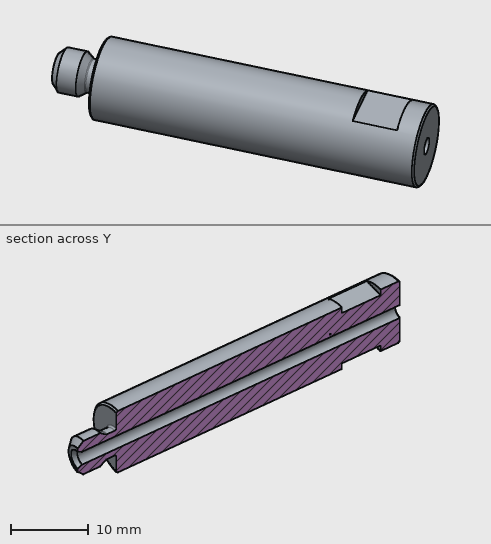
import cadquery as cq

length = 50.0
body_radius = 5.5
body_chamfer = 0.25

stud_length = 6.0
head_radius = 3.0
head_chamfer = 0.9
head_length = 3.5
neck_radius = 2.25
cone_length = 1.0
neck_fillet = 0.25

bore_radius = 1.1
countersink_radius = 1.5
countersink_depth = 0.7

across_flats = 9.0
flat_width = 6.0
flat_end_margin = 3.0

tip_x = -length / 2
end_x = length / 2
shoulder_x = tip_x + stud_length
head_end_x = tip_x + head_length
neck_start_x = head_end_x + cone_length


def make_turned_blank():
    """Revolve the outer half profile, then round both ends of the neck."""
    blank = (
        cq.Workplane("XY")
        .moveTo(tip_x, 0)
        .lineTo(tip_x, head_radius - head_chamfer)
        .lineTo(tip_x + head_chamfer, head_radius)
        .lineTo(head_end_x, head_radius)
        .lineTo(neck_start_x, neck_radius)
        .lineTo(shoulder_x, neck_radius)
        .lineTo(shoulder_x, body_radius - body_chamfer)
        .lineTo(shoulder_x + body_chamfer, body_radius)
        .lineTo(end_x - body_chamfer, body_radius)
        .lineTo(end_x, body_radius - body_chamfer)
        .lineTo(end_x, 0)
        .close()
        .revolve(360, (0, 0, 0), (1, 0, 0))
    )
    margin = neck_fillet / 2
    neck_edges = cq.selectors.BoxSelector(
        (neck_start_x - margin, -head_radius, -head_radius),
        (shoulder_x + margin, head_radius, head_radius),
        boundingbox=True,
    )
    return blank.edges("%CIRCLE").edges(neck_edges).fillet(neck_fillet)


def make_bore():
    """Revolve the bore and its countersink as one cutter."""
    return (
        cq.Workplane("XY")
        .moveTo(tip_x, 0)
        .lineTo(tip_x, countersink_radius)
        .lineTo(tip_x + countersink_depth, bore_radius)
        .lineTo(end_x, bore_radius)
        .lineTo(end_x, 0)
        .close()
        .revolve(360, (0, 0, 0), (1, 0, 0))
    )


def make_flat_cutter(side):
    """Block that leaves a flat facing +Z (side = 1) or -Z (side = -1)."""
    cut_height = body_radius
    center_x = end_x - flat_end_margin - flat_width / 2
    center_z = side * (across_flats + cut_height) / 2
    return cq.Workplane("XY").box(flat_width, 2 * body_radius, cut_height).translate((center_x, 0, center_z))


result = make_turned_blank().cut(make_bore())
for side in (1, -1):
    result = result.cut(make_flat_cutter(side))